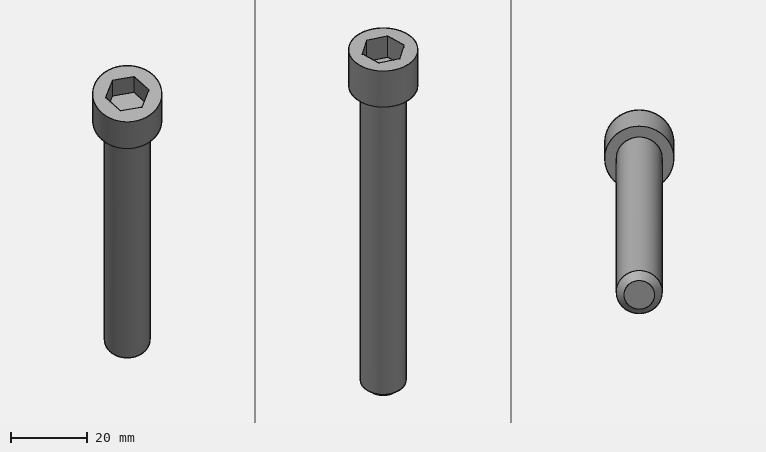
import cadquery as cq
import math

total_length = 112.0
shank_diameter = 12.0
head_diameter = 18.0
head_height = shank_diameter
thread_length = 36.0
tip_chamfer = 2.0
hex_across_flats = 10.0
hex_depth = 7.0

shank_radius = shank_diameter / 2
head_radius = head_diameter / 2
tip_z = head_height - total_length
thread_start_z = tip_z + thread_length

screw = (
    cq.Workplane("XZ")
    .moveTo(0, tip_z)
    .lineTo(shank_radius - tip_chamfer, tip_z)
    .lineTo(shank_radius, tip_z + tip_chamfer)
    .lineTo(shank_radius, thread_start_z)
    .lineTo(shank_radius, 0)
    .lineTo(head_radius, 0)
    .lineTo(head_radius, head_height)
    .lineTo(0, head_height)
    .close()
    .revolve(360, (0, 0, 0), (0, 1, 0))
)

hex_across_corners = hex_across_flats / math.cos(math.radians(30))
socket = (
    cq.Workplane("XY")
    .workplane(offset=head_height - hex_depth)
    .polygon(6, hex_across_corners)
    .extrude(hex_depth)
)

result = screw.cut(socket, clean=False)